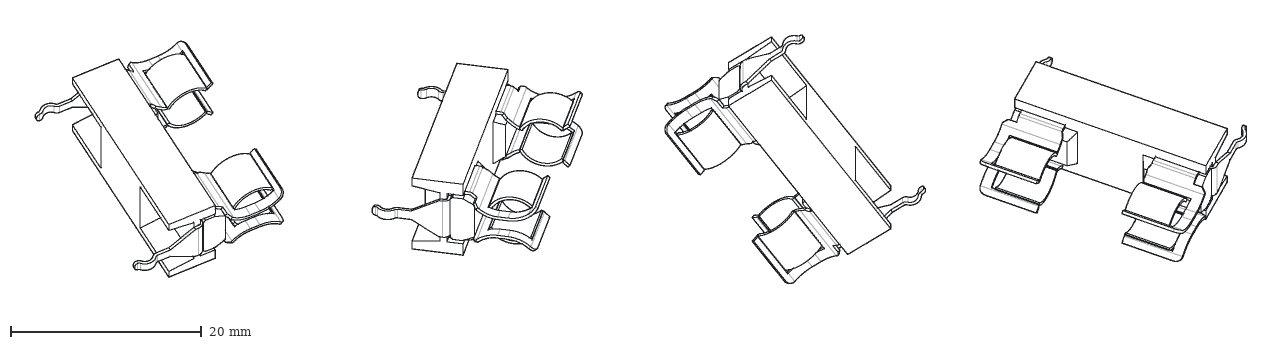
import cadquery as cq
import math


holder_length = 22.0
holder_height = 9.0
holder_depth = 5.5
end_x = -holder_length / 2

pocket_length = 6.5
pocket_depth = 3.0
pocket_floor_half = 3.05
pocket_mouth_half = 3.5

sheet = 0.35
clip_half_height = 3.05
base_top = 4.1
base_bottom = base_top - sheet
foot_left = -10.17
foot_right = -5.18
corner_chamfer = 0.25

block_half = 2.65
block_top = 6.7
block_top_half = 2.0
block_shoulder = holder_depth
block_foot_right = -3.75
block_top_right = -4.4

arm_left = -11.63
arm_right = -4.92
arm_mid = clip_half_height - sheet / 2
arm_bend_y = 6.01
arm_bend_radius = 0.325
arm_angle = 40.0
arm_curve_radius = 3.25
flare_angle = 42.0
flare_radius = 3.5
grip_mid = 1.175
grip_flat = 1.12
tip_y = 13.5
tip_corner_radius = 0.8

ear_start = 0.65
ear_bevel_end = 1.15
ear_bevel_left = -11.15
neck_start = 0.05
neck_end = 0.6
ear_cut_reach = 3.0

fuse_y = 10.67
fuse_radius = 2.6
slot_left = -10.42
tongue_left = -10.0
slot_start_y = 8.07
slot_end_y = 12.75
tongue_start_angle = 43.0
tongue_end_angle = 153.0

tab_half = 2.29
tab_bend_y = 3.36
leg_half = 0.55
leg_tip_y = -4.2
leg_end_radius = 0.4
kink_start_y = -1.49
kink_angle = 50.5
kink_small_radius = 0.5
kink_large_radius = 1.03


class StripPath:
    """Outline of a bent strip, traced as straight runs and arcs of its midline."""

    def __init__(self, x, y, heading):
        self.x = x
        self.y = y
        self.heading = heading
        self.sides = {1: [], -1: []}
        self.starts = {side: self.offset(side) for side in (1, -1)}

    def offset(self, side):
        angle = math.radians(self.heading + 90 * side)
        return (self.x + sheet / 2 * math.cos(angle), self.y + sheet / 2 * math.sin(angle))

    def straight(self, length):
        angle = math.radians(self.heading)
        self.x += length * math.cos(angle)
        self.y += length * math.sin(angle)
        for side in (1, -1):
            self.sides[side].append((None, self.offset(side)))
        return self

    def arc(self, radius, turn):
        """Turn by the given angle in degrees; a positive turn is to the left."""
        to_centre = math.radians(self.heading + math.copysign(90, turn))
        centre_x = self.x + radius * math.cos(to_centre)
        centre_y = self.y + radius * math.sin(to_centre)
        start_heading = self.heading
        middles = {}
        for share in (0.5, 1.0):
            self.heading = start_heading + turn * share
            from_centre = math.radians(self.heading - math.copysign(90, turn))
            self.x = centre_x + radius * math.cos(from_centre)
            self.y = centre_y + radius * math.sin(from_centre)
            if share < 1.0:
                middles = {side: self.offset(side) for side in (1, -1)}
        for side in (1, -1):
            self.sides[side].append((middles[side], self.offset(side)))
        return self

    def draw(self, plane):
        """Closed outline: along the left side, back along the right side."""
        outline = cq.Workplane(plane).moveTo(*self.starts[1])
        for middle, end in self.sides[1]:
            outline = outline.threePointArc(middle, end) if middle else outline.lineTo(*end)
        right = self.sides[-1]
        outline = outline.lineTo(*right[-1][1])
        ends = [self.starts[-1]] + [end for _, end in right[:-1]]
        for (middle, _), end in zip(reversed(right), reversed(ends)):
            outline = outline.threePointArc(middle, end) if middle else outline.lineTo(*end)
        return outline.close()


def yz_plane(x):
    """Plane at the given X, drawn in Y and Z, that extrudes towards +X."""
    return cq.Plane(origin=(x, 0, 0), xDir=(0, 1, 0), normal=(1, 0, 0))


def box(x_range, y_range, z_range):
    sizes = [high - low for low, high in (x_range, y_range, z_range)]
    corner = (x_range[0], y_range[0], z_range[0])
    return cq.Workplane("XY").box(*sizes, centered=False).translate(corner)


def symmetric_prism(half_outline, x, length):
    """Prism along X whose Y-Z outline is the given half plus its mirror image in Z."""
    points = half_outline + [(y, -z) for y, z in reversed(half_outline)]
    return cq.Workplane(yz_plane(x)).polyline(points).close().extrude(length)


def mirrored_pair(shape, plane):
    return [shape, shape.mirror(plane)]


def make_arm():
    """Upper spring arm with its free tongue."""
    angle = math.radians(arm_angle)
    drop = arm_mid - grip_mid - (arm_bend_radius + arm_curve_radius) * (1 - math.cos(angle))
    slope_length = drop / math.sin(angle)

    path = StripPath(base_bottom, arm_mid, 0)
    path.straight(arm_bend_y - base_bottom)
    path.arc(arm_bend_radius, -arm_angle)
    slope_y, slope_z = path.x, path.y
    path.straight(slope_length)
    path.arc(arm_curve_radius, arm_angle)
    path.straight(grip_flat)
    path.arc(flare_radius, flare_angle)
    flare = math.radians(flare_angle)
    tip_length = (tip_y - sheet / 2 * math.sin(flare) - path.x) / math.cos(flare)
    path.straight(tip_length)
    arm = path.draw(yz_plane(arm_left)).extrude(arm_right - arm_left)

    tip_point = (arm_left, path.x, path.y)
    reach = sheet / 4
    near_tip = cq.selectors.BoxSelector(
        tuple(c - reach for c in tip_point), tuple(c + reach for c in tip_point)
    )
    arm = arm.edges(near_tip).fillet(tip_corner_radius)

    slope = cq.Plane(
        origin=(0, slope_y, slope_z), xDir=(1, 0, 0), normal=(0, math.sin(angle), math.cos(angle))
    )
    left_cut = [
        (foot_left, -ear_cut_reach),
        (foot_left, ear_start),
        (ear_bevel_left, ear_start),
        (arm_left, ear_bevel_end),
        (arm_left - sheet, ear_bevel_end),
        (arm_left - sheet, -ear_cut_reach),
    ]
    right_cut = [
        (foot_right, -ear_cut_reach),
        (foot_right, neck_start),
        (arm_right, neck_end),
        (arm_right + sheet, neck_end),
        (arm_right + sheet, -ear_cut_reach),
    ]
    for cut in (left_cut, right_cut):
        arm = arm.cut(cq.Workplane(slope).polyline(cut).close().extrude(ear_cut_reach, both=True))

    arm = arm.cut(box((slot_left, arm_right), (slot_start_y, slot_end_y), (0, clip_half_height)))
    return arm.union(make_tongue())


def make_tongue():
    """Ring sector around the fuse axis."""
    def ring_point(radius, degrees):
        angle = math.radians(degrees)
        return (fuse_y + radius * math.cos(angle), radius * math.sin(angle))

    outer_radius = fuse_radius + sheet
    middle_angle = (tongue_start_angle + tongue_end_angle) / 2
    return (
        cq.Workplane(yz_plane(tongue_left))
        .moveTo(*ring_point(fuse_radius, tongue_start_angle))
        .lineTo(*ring_point(outer_radius, tongue_start_angle))
        .threePointArc(ring_point(outer_radius, middle_angle), ring_point(outer_radius, tongue_end_angle))
        .lineTo(*ring_point(fuse_radius, tongue_end_angle))
        .threePointArc(ring_point(fuse_radius, middle_angle), ring_point(fuse_radius, tongue_start_angle))
        .close()
        .extrude(arm_right - tongue_left)
    )


def make_leg():
    """Strip from the base, bent over the holder end and kinked near its tip."""
    bend_radius = base_top - tab_bend_y - sheet / 2
    leg_mid_x = end_x - sheet / 2
    path = StripPath(foot_left, base_top - sheet / 2, 180)
    path.straight(foot_left - (leg_mid_x + bend_radius))
    path.arc(bend_radius, 90)
    path.straight(tab_bend_y - kink_start_y)
    path.arc(kink_small_radius, -kink_angle)
    path.arc(kink_large_radius, kink_angle)
    path.arc(kink_large_radius, kink_angle)
    path.arc(kink_small_radius, -kink_angle)
    path.straight(path.y - leg_tip_y)
    strip = path.draw("XY").extrude(tab_half, both=True)

    half_outline = [
        (base_top, tab_half),
        (pocket_depth, tab_half),
        (0, leg_half),
        (leg_tip_y, leg_half),
    ]
    outline_start = 2 * end_x
    outline = symmetric_prism(half_outline, outline_start, foot_left - outline_start)
    outline = outline.faces("<Y").edges("|X").fillet(leg_end_radius)
    return strip.intersect(outline)


def make_clip():
    base = box((foot_left, foot_right), (base_bottom, base_top), (-clip_half_height, clip_half_height))
    clip = base.union(make_leg())

    arm_inside = clip_half_height - sheet
    bevel = (
        cq.Workplane(yz_plane(foot_left))
        .polyline([
            (base_top, block_half - corner_chamfer),
            (base_top, arm_inside),
            (base_top + corner_chamfer, arm_inside),
            (base_top + corner_chamfer, block_half),
        ])
        .close()
        .extrude(foot_right - foot_left)
    )
    for part in mirrored_pair(make_arm().union(bevel), "XY"):
        clip = clip.union(part)
    return clip


def make_block():
    """Block inside the clip, sloped at its inner end and bevelled along its long edges."""
    plan = (
        cq.Workplane("XY")
        .polyline([
            (end_x, base_top),
            (block_foot_right, base_top),
            (block_foot_right, holder_depth),
            (block_top_right, block_top),
            (end_x, block_top),
        ])
        .close()
        .extrude(block_half, both=True)
    )
    half_section = [
        (base_top, block_half - corner_chamfer),
        (base_top + corner_chamfer, block_half),
        (block_shoulder, block_half),
        (block_top, block_top_half),
    ]
    return plan.intersect(symmetric_prism(half_section, end_x, block_foot_right - end_x))


def make_pocket():
    half_section = [(0, pocket_mouth_half), (pocket_depth, pocket_floor_half)]
    return symmetric_prism(half_section, end_x, pocket_length)


def make_holder(clips):
    holder = box((end_x, -end_x), (0, holder_depth), (-holder_height / 2, holder_height / 2))
    clip_seat = box(
        (end_x, foot_right), (base_bottom, holder_depth), (-clip_half_height, clip_half_height)
    )
    for cutter in (make_pocket(), clip_seat):
        for part in mirrored_pair(cutter, "YZ"):
            holder = holder.cut(part)
    for part in mirrored_pair(make_block(), "YZ"):
        holder = holder.union(part)
    for clip in clips:
        holder = holder.cut(clip)
    return holder


clips = mirrored_pair(make_clip(), "YZ")
holder = make_holder(clips)

holder_solid = holder.solids().val()
clip_solids = [clip.solids().val() for clip in clips]

result = cq.Compound.makeCompound([holder_solid, *clip_solids])